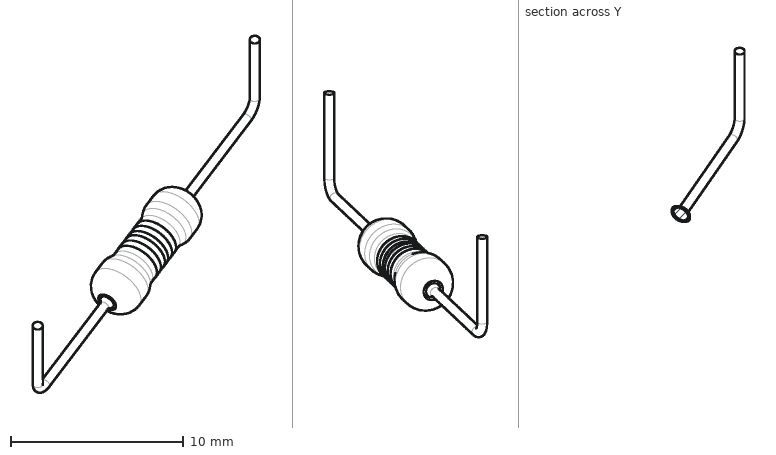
import cadquery as cq
import math

overall_length = 25.6
wire_diameter = 0.6
lead_top = 6.2
bend_radius = 0.9
cap_diameter = 3.2
waist_diameter = 2.75
groove_diameter = 2.71
cap_inner = 2.5
cap_outer = 3.35
dome_radius = 1.15
collar_end = 4.8
groove_width = 0.45
groove_centres = (0.4, 1.33)
waist_half_length = groove_centres[-1] + groove_width / 2

wire_radius = wire_diameter / 2
cap_radius = cap_diameter / 2
waist_radius = waist_diameter / 2
groove_radius = groove_diameter / 2
dome_end = cap_outer + dome_radius
flare_radius = collar_end - dome_end
lead_y = overall_length / 2 - wire_radius


def make_cap():
    """Revolve one end cap, from its shoulder through the dome to the flare onto the wire."""
    shoulder_y = (waist_half_length + cap_inner) / 2
    shoulder_radius = (groove_radius + cap_radius) / 2
    shoulder_run = shoulder_y - waist_half_length
    shoulder_rise = shoulder_radius - groove_radius
    valley_radius = (shoulder_run**2 + shoulder_rise**2) / (2 * shoulder_rise)
    half_angle = math.asin(shoulder_run / valley_radius) / 2
    valley_mid = (
        groove_radius + valley_radius * (1 - math.cos(half_angle)),
        waist_half_length + valley_radius * math.sin(half_angle),
    )
    diagonal = math.sqrt(0.5)
    dome_mid = (
        cap_radius - dome_radius * (1 - diagonal),
        cap_outer + dome_radius * diagonal,
    )
    flare_mid = (
        wire_radius + flare_radius * (1 - diagonal),
        collar_end - flare_radius * diagonal,
    )
    return (
        cq.Workplane("XY")
        .moveTo(0, waist_half_length)
        .lineTo(groove_radius, waist_half_length)
        .threePointArc(valley_mid, (shoulder_radius, shoulder_y))
        .tangentArcPoint((cap_radius, cap_inner), relative=False)
        .lineTo(cap_radius, cap_outer)
        .threePointArc(dome_mid, (cap_radius - dome_radius, dome_end))
        .lineTo(wire_radius + flare_radius, dome_end)
        .threePointArc(flare_mid, (wire_radius, collar_end))
        .lineTo(0, collar_end)
        .close()
        .revolve(360, (0, 0, 0), (0, 1, 0))
    )


def make_waist():
    """Plain cylinder between the two caps."""
    return (
        cq.Workplane("XZ", origin=(0, waist_half_length, 0))
        .circle(waist_radius)
        .extrude(2 * waist_half_length)
    )


def make_groove(centre_y):
    """Ring to cut from the waist, lowering it between the colour bands."""
    return (
        cq.Workplane("XZ", origin=(0, centre_y + groove_width / 2, 0))
        .circle(cap_radius)
        .circle(groove_radius)
        .extrude(groove_width)
    )


def make_wire():
    """Sweep one round wire through the body and up both bent leads."""
    straight_end = lead_y - bend_radius
    bend_offset = bend_radius * (1 - math.sqrt(0.5))
    path = (
        cq.Workplane("YZ")
        .moveTo(-lead_y, lead_top)
        .lineTo(-lead_y, bend_radius)
        .threePointArc((-lead_y + bend_offset, bend_offset), (-straight_end, 0))
        .lineTo(straight_end, 0)
        .threePointArc((lead_y - bend_offset, bend_offset), (lead_y, bend_radius))
        .lineTo(lead_y, lead_top)
    )
    return (
        cq.Workplane("XY", origin=(0, -lead_y, lead_top))
        .circle(wire_radius)
        .sweep(path)
    )


cap = make_cap()
body = make_waist().union(cap).union(cap.mirror("XZ"))
for groove_centre in groove_centres:
    body = body.cut(make_groove(-groove_centre))
    body = body.cut(make_groove(groove_centre))
result = body.union(make_wire())